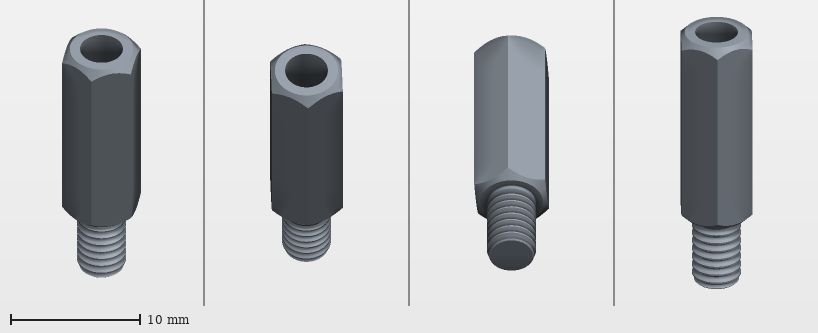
import cadquery as cq
import math

total_height = 21.8
hex_height = 16.0
across_flats = 5.5
across_corners = across_flats / math.cos(math.radians(30))
end_face_diameter = 4.9
stud_length = total_height - hex_height

hole_diameter = 3.31
hole_depth = 8.0
drill_point_angle = 118.0

crest_radius = 1.9
root_radius = 1.48
pitch = 0.7
crest_width = 0.13
flank_height = (crest_radius - root_radius) * math.tan(math.radians(30))
root_width = pitch - crest_width - 2 * flank_height
collar_height = 0.33
groove_count = 8
tip_radius = 1.64
tip_chamfer = crest_radius - tip_radius


def revolve_profile(points):
    """Turn a closed (radius, height) outline around the Z axis."""
    return cq.Workplane("XZ").polyline(points).close().revolve(360, (0, 0, 0), (0, 1, 0))


def make_hex_body():
    """Hexagonal prism with corners on Y and conical chamfers at both ends."""
    prism = (
        cq.Workplane("XY")
        .workplane(offset=stud_length)
        .polygon(6, across_corners)
        .extrude(hex_height)
        .rotate((0, 0, 0), (0, 0, 1), 90)
    )
    end_radius = end_face_diameter / 2
    outer_radius = across_corners
    cone_height = outer_radius - end_radius
    chamfer_envelope = revolve_profile([
        (0, stud_length),
        (end_radius, stud_length),
        (outer_radius, stud_length + cone_height),
        (outer_radius, total_height - cone_height),
        (end_radius, total_height),
        (0, total_height),
    ])
    return prism.intersect(chamfer_envelope)


def make_groove(top):
    """Ring of trapezoidal section that cuts one thread groove below height top."""
    root_top = top - flank_height
    root_bottom = root_top - root_width
    return revolve_profile([
        (crest_radius, top),
        (root_radius, root_top),
        (root_radius, root_bottom),
        (crest_radius, root_bottom - flank_height),
    ])


def make_stud():
    """Cylindrical stud with a chamfered tip and evenly spaced thread grooves."""
    stud = cq.Workplane("XY").circle(crest_radius).extrude(stud_length)
    stud = stud.faces("<Z").chamfer(tip_chamfer)
    first_groove_top = stud_length - collar_height
    for index in range(groove_count):
        stud = stud.cut(make_groove(first_groove_top - index * pitch))
    return stud


def make_hole():
    """Blind hole from the top face, ending in a drill cone."""
    hole_radius = hole_diameter / 2
    hole_bottom = total_height - hole_depth
    point_depth = hole_radius / math.tan(math.radians(drill_point_angle / 2))
    return revolve_profile([
        (0, total_height),
        (hole_radius, total_height),
        (hole_radius, hole_bottom),
        (0, hole_bottom - point_depth),
    ])


result = make_hex_body().union(make_stud()).cut(make_hole())